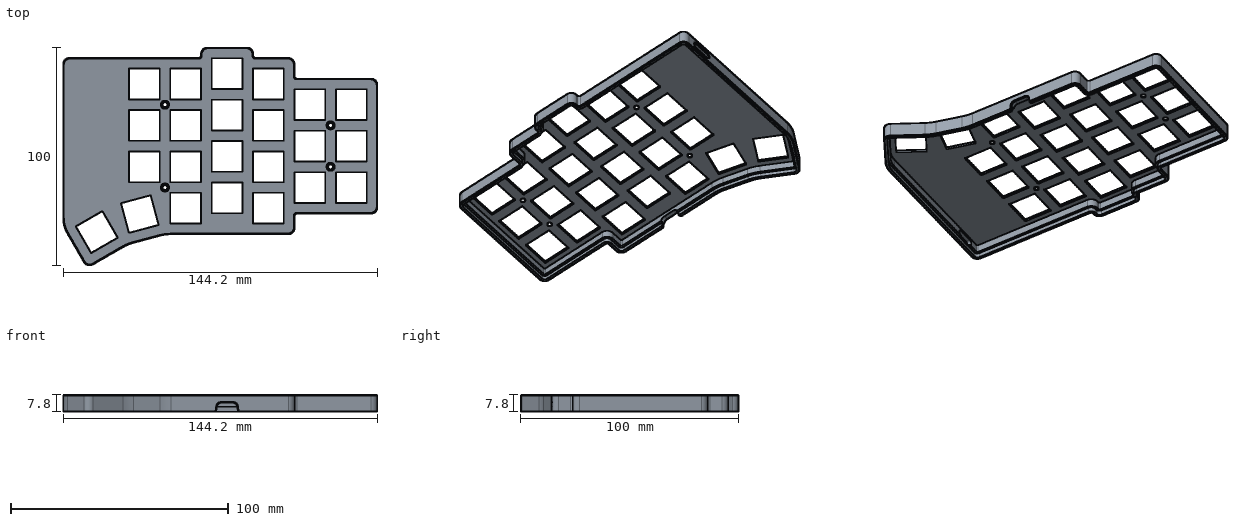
import cadquery as cq
import math

case_length = 144.25
case_height = 7.8

key_pitch = 19.0
column_stagger = key_pitch / 4
opening_size = 14.0
columns = [
    (0, 3),
    (0, 4),
    (column_stagger, 4),
    (0, 4),
    (-2 * column_stagger, 3),
    (-2 * column_stagger, 3),
]
inner_thumb = (-2.05, -59.7, 15)
outer_thumb = (-21.8, -67.94, 30)

key_margin = 12.0
wall = 2.5
plate_thickness = 1.3
edge_chamfer = 0.4
corner_radius = 3.0
step_radius = 1.0
thumb_bend_radius = 20.0
left_bend_radius = 13.5

rebate_depth = 2.4
rebate_width = 1.0

screw_diameter = 2.2
screw_head_diameter = 3.8

slot_length = 10.2
slot_height = 3.0
slot_centre_y = -0.5
slot_centre_z = case_height / 2

notch_bottom_width = 10.0
notch_top_width = 8.8
notch_height = 4.2
notch_radius = 2.0
notch_centre_x = 2 * key_pitch

right_edge = 5 * key_pitch + key_margin
left_edge = right_edge - case_length
main_right = 3 * key_pitch + key_margin
main_top = key_margin
main_bottom = -3 * key_pitch - key_margin
bump_left = 2 * key_pitch - key_margin
bump_right = 2 * key_pitch + key_margin
bump_top = main_top + column_stagger
wing_top = main_top - 2 * column_stagger
wing_bottom = -2 * key_pitch - 2 * column_stagger - key_margin


def thumb_point(thumb, along, across):
    """Point at a distance along and across a rotated thumb key from its centre."""
    x, y, angle = thumb
    c = math.cos(math.radians(angle))
    s = math.sin(math.radians(angle))
    return (x + along * c - across * s, y + along * s + across * c)


def front_meeting(first, second):
    """Crossing of the outline sides that run below two keys."""
    x1, y1 = thumb_point(first, 0, -key_margin)
    x2, y2 = thumb_point(second, 0, -key_margin)
    slope1 = math.tan(math.radians(first[2]))
    slope2 = math.tan(math.radians(second[2]))
    x = (y2 - y1 + slope1 * x1 - slope2 * x2) / (slope1 - slope2)
    return (x, y1 + slope1 * (x - x1))


def outline_corners():
    """Sharp corners of the outer outline, each with its rounding radius."""
    first_bottom_key = (key_pitch, -3 * key_pitch, 0)
    thumb_corner = thumb_point(outer_thumb, -key_margin, -key_margin)
    rise = (thumb_corner[0] - left_edge) * math.tan(math.radians(90 - outer_thumb[2]))
    return [
        ((left_edge, main_top), corner_radius),
        ((bump_left, main_top), step_radius),
        ((bump_left, bump_top), corner_radius),
        ((bump_right, bump_top), corner_radius),
        ((bump_right, main_top), step_radius),
        ((main_right, main_top), corner_radius),
        ((main_right, wing_top), step_radius),
        ((right_edge, wing_top), corner_radius),
        ((right_edge, wing_bottom), corner_radius),
        ((main_right, wing_bottom), step_radius),
        ((main_right, main_bottom), corner_radius),
        (front_meeting(inner_thumb, first_bottom_key), thumb_bend_radius),
        (front_meeting(outer_thumb, inner_thumb), thumb_bend_radius),
        (thumb_corner, corner_radius),
        ((left_edge, thumb_corner[1] + rise), left_bend_radius),
    ]


def rounded_outline(corners):
    """Closed wire through the corners, each rounded by a tangent arc."""
    arcs = []
    for i, (point, radius) in enumerate(corners):
        corner = cq.Vector(*point)
        to_previous = (cq.Vector(*corners[i - 1][0]) - corner).normalized()
        to_next = (cq.Vector(*corners[(i + 1) % len(corners)][0]) - corner).normalized()
        half_angle = to_previous.getAngle(to_next) / 2
        setback = radius / math.tan(half_angle)
        bisector = (to_previous + to_next).normalized()
        middle = corner + bisector * (radius / math.sin(half_angle) - radius)
        arcs.append((corner + to_previous * setback, middle, corner + to_next * setback))
    path = cq.Workplane("XY").moveTo(*arcs[0][0].toTuple()[:2])
    for i, (start, middle, end) in enumerate(arcs):
        if i > 0:
            path = path.lineTo(start.x, start.y)
        path = path.threePointArc((middle.x, middle.y), (end.x, end.y))
    return path.close()


def notch():
    """Tapered, round-topped cutter for the notch in the lower edge of the front wall."""
    half_bottom = notch_bottom_width / 2
    half_top = notch_top_width / 2
    profile = cq.Workplane("XZ", origin=(notch_centre_x, main_bottom, 0)).polyline(
        [(-half_bottom, 0), (-half_top, notch_height), (half_top, notch_height), (half_bottom, 0)]
    )
    return profile.close().extrude(-2 * wall).edges("|Y and >Z").fillet(notch_radius)


def outer_block(corners):
    """Solid block with the front notch, chamfered all round and at the notch mouth."""
    block = rounded_outline(corners).extrude(case_height).cut(notch())
    reach = notch_bottom_width / 2 + edge_chamfer
    mouth = cq.selectors.BoxSelector(
        (notch_centre_x - reach, main_bottom - edge_chamfer, edge_chamfer),
        (notch_centre_x + reach, main_bottom + edge_chamfer, notch_height + edge_chamfer),
    )
    rims = block.faces("<Z or >Z").edges()
    return rims.add(block.edges(mouth)).chamfer(edge_chamfer)


def shell():
    """Outer block hollowed from below, with a rebate around the open underside."""
    corners = outline_corners()
    cavity = rounded_outline(corners).offset2D(-wall).extrude(case_height - plate_thickness)
    rebate = rounded_outline(corners).offset2D(rebate_width - wall).extrude(rebate_depth)
    return outer_block(corners).cut(cavity).cut(rebate)


def key_opening(x, y, angle=0):
    """Square cutter for one key, turned about its own centre."""
    opening = cq.Workplane("XY").rect(opening_size, opening_size).extrude(case_height)
    return opening.rotate((0, 0, 0), (0, 0, 1), angle).translate((x, y, 0))


def cut_key_openings(body):
    """Openings for the key columns and the two thumb keys."""
    for column, (shift, count) in enumerate(columns):
        for row in range(count):
            body = body.cut(key_opening(column * key_pitch, shift - row * key_pitch))
    for thumb in (inner_thumb, outer_thumb):
        body = body.cut(key_opening(*thumb))
    return body


def cut_screw_holes(body):
    """Countersunk holes between the keys."""
    left_x = key_pitch / 2
    right_x = 4.5 * key_pitch
    places = [
        (left_x, -0.5 * key_pitch),
        (left_x, -2.5 * key_pitch),
        (right_x, -key_pitch),
        (right_x, -2 * key_pitch),
    ]
    top = cq.Workplane("XY").workplane(offset=case_height)
    sink_depth = (screw_head_diameter - screw_diameter) / 2
    cone = cq.Solid.makeCone(screw_diameter / 2, screw_head_diameter / 2, sink_depth)
    holes = top.pushPoints(places).circle(screw_diameter / 2).extrude(-case_height)
    body = body.cut(holes)
    for x, y in places:
        body = body.cut(cq.Workplane(cone.translate(cq.Vector(x, y, case_height - sink_depth))))
    return body


def cut_slot(body):
    """Round-ended slot through the left wall, chamfered at the outside."""
    face = cq.Workplane("YZ", origin=(left_edge, slot_centre_y, slot_centre_z))
    body = body.cut(face.slot2D(slot_length, slot_height).extrude(2 * wall))
    mouth = face.slot2D(slot_length + 2 * edge_chamfer, slot_height + 2 * edge_chamfer)
    return body.cut(mouth.extrude(edge_chamfer, taper=45))


result = shell()
result = cut_key_openings(result)
result = cut_screw_holes(result)
result = cut_slot(result)